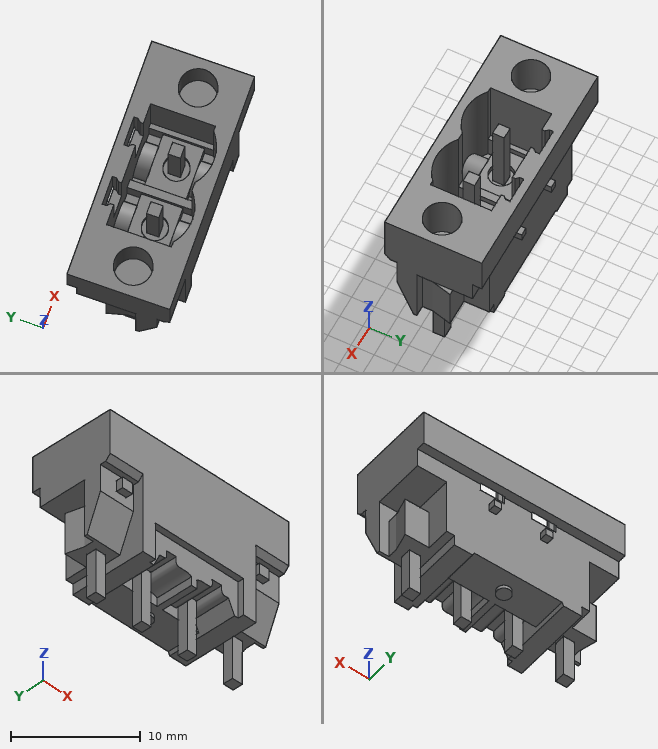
import cadquery as cq

pole_pitch = 5.0
pole_positions = [-pole_pitch / 2, pole_pitch / 2]
flange_x = 7.5

housing_length = 19.6
housing_height = 12.0
front_y = -3.81
rim_back_y = 4.62
back_y = 3.82
rim_height = 3.5
core_half_length = 6.2

flange_bottom_z = 1.05
flange_face_y = front_y + 1.06
flange_ledge_y = front_y + 0.5
flange_toe_y = front_y + 2.51
flange_slope_top_z = 4.54
flange_ledge_z = 7.15
flange_front_z = 7.66

recess_inner_x = 6.96
recess_front_y = -1.02
recess_top_z = 6.6
block_top_z = 5.03
block_back_y = 1.61
block_bend_y = -0.1
block_back_x = 9.3
block_front_x = 8.86

mounting_hole_diameter = 3.05
mounting_hole_depth = 4.0

cavity_half_length = 5.08
cavity_back_y = 3.04
cavity_front_y = -2.27
cavity_depth = 6.5
cell_half_width = 2.17
cell_front_y = -3.07
cell_depth = 8.5
saddle_radius = 1.48
platform_back_y = 1.88
platform_front_y = -1.53
pin_well_diameter = 2.1
pin_well_depth = 0.5

slot_depth = 4.15
slot_neck_half_width = 0.92
slot_head_half_width = 1.165
slot_neck_end_y = 3.3
slot_head_start_y = 3.56
slot_back_y = 3.9

nub_size = 0.7
nub_bottom_z = 6.04

front_recess_half_length = 4.83
front_recess_depth = 0.58
front_recess_height = 3.58
base_lift = 0.33
rail_inner_x = 4.43
arch_slope_top_x = 3.76
arch_top_z = 1.36
arch_side_z = 1.18
arch_bend_x = 0.9
web_half_width = 0.3
arch_back_y = 0.5
notch_top_z = 2.2
notch_clearance = 0.02
notch_corner_radius = 0.33
standoff_diameter = 1.3
standoff_y = 2.0

contact_width = 1.0
contact_top_z = 11.0
pin_bottom_z = -3.2
mount_width = 1.08
mount_leg_thickness = 1.0
mount_arm_top_z = 6.54
mount_arm_height = 1.06
mount_arm_front_y = front_y + 0.39


def box(x_range, y_range, z_range):
    """Axis-aligned box from its limits."""
    size = [limits[1] - limits[0] for limits in (x_range, y_range, z_range)]
    corner = (x_range[0], y_range[0], z_range[0])
    return cq.Workplane("XY").box(*size, centered=False).translate(corner)


def mirrored_pair(body):
    """A body together with its mirror image across X = 0."""
    return body.union(body.mirror("YZ"))


def housing_envelope():
    flange_section = [
        (rim_back_y, housing_height),
        (rim_back_y, housing_height - rim_height),
        (back_y, housing_height - rim_height),
        (back_y, flange_bottom_z),
        (flange_toe_y, flange_bottom_z),
        (flange_face_y, flange_slope_top_z),
        (flange_face_y, flange_ledge_z),
        (flange_ledge_y, flange_ledge_z),
        (front_y, flange_front_z),
        (front_y, housing_height),
    ]
    flanges = cq.Workplane("YZ").polyline(flange_section).close().extrude(housing_length / 2, both=True)
    core = box((-core_half_length, core_half_length), (front_y, back_y), (0, housing_height))
    return flanges.union(core)


def side_recess():
    recess = box(
        (-housing_length / 2, -recess_inner_x),
        (recess_front_y, back_y),
        (flange_bottom_z, recess_top_z),
    )
    block_outline = [
        (-recess_inner_x, recess_front_y),
        (-block_front_x, recess_front_y),
        (-block_front_x, block_bend_y),
        (-block_back_x, block_back_y),
        (-recess_inner_x, block_back_y),
    ]
    block = (
        cq.Workplane("XY", origin=(0, 0, flange_bottom_z))
        .polyline(block_outline).close()
        .extrude(block_top_z - flange_bottom_z)
    )
    return mirrored_pair(recess.cut(block))


def mounting_holes():
    return (
        cq.Workplane("XY", origin=(0, 0, housing_height))
        .pushPoints([(-flange_x, 0), (flange_x, 0)])
        .circle(mounting_hole_diameter / 2)
        .extrude(-mounting_hole_depth)
    )


def cell_cavity(pole_x):
    """Deep pocket of one pole, with a half-round ridge and a flat platform left on its floor."""
    left = pole_x - cell_half_width
    right = pole_x + cell_half_width
    floor_z = housing_height - cell_depth
    platform_z = floor_z + saddle_radius
    pocket = (
        cq.Workplane("XY", origin=(0, 0, floor_z))
        .moveTo(left, cavity_back_y)
        .lineTo(left, cavity_front_y)
        .threePointArc((pole_x, cell_front_y), (right, cavity_front_y))
        .lineTo(right, cavity_back_y)
        .close()
        .extrude(cell_depth)
    )
    ridge = (
        cq.Workplane("XZ", origin=(pole_x, cavity_back_y, floor_z))
        .circle(saddle_radius)
        .extrude(cavity_back_y - cell_front_y)
    )
    platform = box((left, right), (platform_front_y, platform_back_y), (floor_z, platform_z))
    pin_well = (
        cq.Workplane("XY", origin=(pole_x, 0, platform_z))
        .circle(pin_well_diameter / 2)
        .extrude(-pin_well_depth)
    )
    return pocket.cut(ridge).cut(platform).union(pin_well)


def coding_slot(pole_x):
    half_outline = [
        (slot_neck_half_width, cavity_back_y),
        (slot_neck_half_width, slot_neck_end_y),
        (slot_head_half_width, slot_head_start_y),
        (slot_head_half_width, slot_back_y),
    ]
    outline = half_outline + [(-x, y) for x, y in reversed(half_outline)]
    return (
        cq.Workplane("XY", origin=(pole_x, 0, housing_height))
        .polyline(outline).close()
        .extrude(-slot_depth)
    )


def rear_nub(pole_x):
    return box(
        (pole_x - nub_size / 2, pole_x + nub_size / 2),
        (back_y, back_y + nub_size),
        (nub_bottom_z, nub_bottom_z + nub_size),
    )


def underside_arches():
    """Arched openings under the front wall, each with a notch that clears a contact pin."""
    pole_x = pole_positions[0]
    notch_left = pole_x - contact_width / 2 - notch_clearance
    notch_right = pole_x + contact_width / 2 + notch_clearance
    radius = notch_corner_radius
    arch = (
        cq.Workplane("XZ", origin=(0, arch_back_y, 0))
        .moveTo(-rail_inner_x, 0)
        .lineTo(-arch_slope_top_x, arch_top_z)
        .lineTo(notch_left - radius, arch_top_z)
        .radiusArc((notch_left, arch_top_z + radius), -radius)
        .lineTo(notch_left, notch_top_z)
        .lineTo(notch_right, notch_top_z)
        .lineTo(notch_right, arch_top_z + radius)
        .radiusArc((notch_right + radius, arch_top_z), -radius)
        .lineTo(-arch_bend_x, arch_top_z)
        .tangentArcPoint((-web_half_width, arch_side_z), relative=False)
        .lineTo(-web_half_width, 0)
        .close()
        .extrude(arch_back_y - front_y)
    )
    return mirrored_pair(arch)


def underside_lift():
    slope = (rail_inner_x - arch_slope_top_x) / arch_top_z
    top_half_length = rail_inner_x - slope * base_lift
    outline = [
        (-rail_inner_x, 0),
        (-top_half_length, base_lift),
        (top_half_length, base_lift),
        (rail_inner_x, 0),
    ]
    lift = (
        cq.Workplane("XZ", origin=(0, back_y, 0))
        .polyline(outline).close()
        .extrude(back_y - front_y)
    )
    standoff = (
        cq.Workplane("XY", origin=(0, standoff_y, 0))
        .circle(standoff_diameter / 2)
        .extrude(base_lift)
    )
    return lift.cut(standoff)


def front_recess():
    return box(
        (-front_recess_half_length, front_recess_half_length),
        (front_y, front_y + front_recess_depth),
        (0, front_recess_height),
    )


def contact_pin(pole_x):
    half = contact_width / 2
    return box((pole_x - half, pole_x + half), (-half, half), (pin_bottom_z, contact_top_z))


def mounting_pin(pin_x):
    """L-shaped pin: a leg down through the guide block and an arm out through the flange front."""
    x_range = (pin_x - mount_width / 2, pin_x + mount_width / 2)
    leg_half = mount_leg_thickness / 2
    leg = box(x_range, (-leg_half, leg_half), (pin_bottom_z, mount_arm_top_z))
    arm = box(
        x_range,
        (mount_arm_front_y, leg_half),
        (mount_arm_top_z - mount_arm_height, mount_arm_top_z),
    )
    return leg.union(arm)


contact_pins = [contact_pin(x) for x in pole_positions]
mounting_pins = [mounting_pin(x) for x in (-flange_x, flange_x)]

housing = housing_envelope().cut(side_recess()).cut(mounting_holes())
housing = housing.cut(
    box(
        (-cavity_half_length, cavity_half_length),
        (cavity_front_y, cavity_back_y),
        (housing_height - cavity_depth, housing_height),
    )
)
for pole in pole_positions:
    housing = housing.cut(cell_cavity(pole)).cut(coding_slot(pole)).union(rear_nub(pole))
housing = housing.cut(front_recess()).cut(underside_arches()).cut(underside_lift())
for pin in contact_pins + mounting_pins:
    housing = housing.cut(pin)

result = cq.Compound.makeCompound(
    [housing.val(), *[pin.val() for pin in contact_pins], *[pin.val() for pin in mounting_pins]]
)